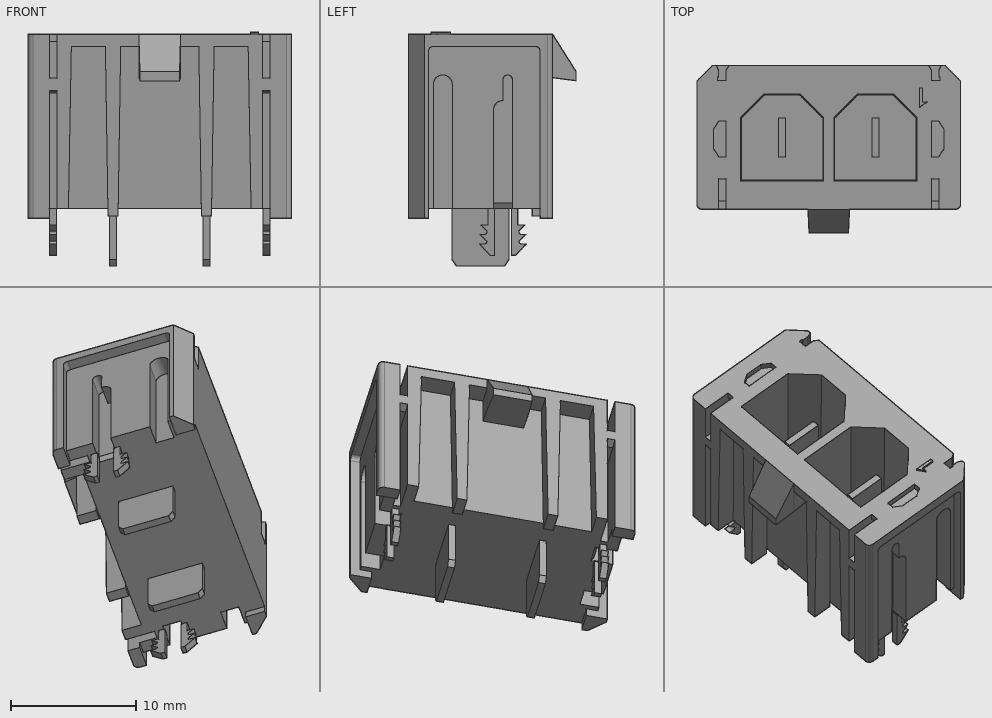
import cadquery as cq
import math


LENGTH = 21.08
DEPTH = 11.5
HEIGHT = 14.71
STANDOFF = 0.78
REAR_CHAMFER = 1.26
FRONT_RADIUS = 0.42
FRONT = -DEPTH / 2
BACK = DEPTH / 2

CONTACT_PITCH = 7.46
CONTACT_X = CONTACT_PITCH / 2
CAVITY_WIDTH = 6.66
CAVITY_DEPTH_Y = 6.94
CAVITY_CHAMFER = 1.9
CAVITY_FLOOR = 2.53
CAVITY_DRAFT = 0.35
PLATE = 0.57
BLADE_WIDTH = 3.12
BLADE_TOP = 11.49
TAIL_WIDTH = 4.57
TAIL_BOTTOM = -3.82
TAIL_CHAMFER_Y = 0.35
TAIL_CHAMFER_Z = 0.53

RECESS_TOP = 13.72
RECESS_DEPTH = 1.62
RECESS_DEPTH_TOP = 1.48
RECESS_OUTER_TOP = 7.06
RECESS_OUTER_BOTTOM = 7.3
RIB_HALF_TOP = 0.61
RIB_HALF_BOTTOM = 0.4
RIB_FOOT = 0.17

LATCH_REACH = 1.88
LATCH_WIDTH_ROOT = 3.33
LATCH_WIDTH_TIP = 3.16
LATCH_TIP_TOP_DROP = 2.97
LATCH_TIP_BOTTOM_DROP = 3.73
LATCH_ROOT_BOTTOM_DROP = 3.29

SLOT_OUTER = 8.81
SLOT_INNER = 8.2
SLOT_DEPTH = 2.45
SLOT_UNDERCUT = 0.21
SLOT_LIP = 0.61
BRIDGE_TOP = 11.2
BRIDGE_LEDGE = 10.55
BRIDGE_BOTTOM = 10.0
BRIDGE_CHAMFER = 0.23
BRIDGE_THICKNESS = 0.67

POCKET_OUTER = 9.21
POCKET_CHAMFER_X = 0.45
POCKET_CHAMFER_Y = 0.67
POCKET_WIDTH = 2.89
POCKET_Y = -0.13
POCKET_DEPTH = 0.53

NOTCH_MOUTH_OUTER = 8.98
NOTCH_MOUTH_INNER = 7.95
NOTCH_MOUTH_DEPTH = 0.38
NOTCH_HOOK_OUTER = 8.9
NOTCH_HOOK_DEPTH = 0.93
NOTCH_DEPTH = 1.22
NOTCH_FLOOR = BRIDGE_TOP

PANEL_RECESS = 0.78
PANEL_FRONT = -4.76
PANEL_BACK = 4.15
PANEL_RADIUS = 0.38
GROOVE_TOP = 11.45
GROOVE_WIDTH = 1.52
REAR_GROOVE_Y = 3.01
LOCK_Y = -1.8
STEP_TOP = 9.4
GROOVE_FLARE_HEIGHT = 0.45
GROOVE_FLARE_DEPTH = 0.25

LOCK_INNER = 0.67
LOCK_OUTER = 1.2
LOCK_BOTTOM = -2.97
LOCK_TOE = 1.01
BARB_ROOT = 1.29
BARB_ROUND = 0.2
BARBS = [(1.77, -0.53), (1.83, -1.29), (1.88, -2.05)]

MARK_HEIGHT = 0.15
MARK_LEFT = 7.25
MARK_STEM = 0.25
MARK_FLAG = 0.65
MARK_BACK = 3.95
MARK_FLAG_BACK = 2.85
MARK_FRONT = 2.38


def block(x0, x1, y0, y1, z0, z1):
    return cq.Workplane("XY").box(x1 - x0, y1 - y0, z1 - z0, centered=False).translate((x0, y0, z0))


def yz_prism(outline, x0, x1):
    """Extrude a closed Y-Z outline from x0 to x1."""
    return outline.extrude(x1 - x0).translate((x0, 0, 0))


def both_ends(right_hand):
    return right_hand.union(right_hand.mirror("YZ"))


def shell_block():
    body = block(-LENGTH / 2, LENGTH / 2, FRONT, BACK, 0, HEIGHT)
    body = body.edges("|Z and >Y").chamfer(REAR_CHAMFER)
    body = body.edges("|Z and <Y").fillet(FRONT_RADIUS)
    return body.cut(block(-SLOT_OUTER, SLOT_OUTER, FRONT, BACK, 0, STANDOFF))


def cavity():
    cut_depth = HEIGHT - CAVITY_FLOOR
    half_x = CAVITY_WIDTH / 2
    half_y = CAVITY_DEPTH_Y / 2
    outline = [
        (-half_x, -half_y),
        (half_x, -half_y),
        (half_x, half_y - CAVITY_CHAMFER),
        (half_x - CAVITY_CHAMFER, half_y),
        (-half_x + CAVITY_CHAMFER, half_y),
        (-half_x, half_y - CAVITY_CHAMFER),
    ]
    top = cq.Workplane("XY").workplane(offset=HEIGHT).polyline(outline).close()
    return top.extrude(-cut_depth, taper=CAVITY_DRAFT)


def contact():
    half = TAIL_WIDTH / 2
    toe = half - TAIL_CHAMFER_Y
    toe_top = TAIL_BOTTOM + TAIL_CHAMFER_Z
    blade = block(-PLATE / 2, PLATE / 2, -BLADE_WIDTH / 2, BLADE_WIDTH / 2, STANDOFF, BLADE_TOP)
    outline = [(-half, STANDOFF), (-half, toe_top), (-toe, TAIL_BOTTOM),
               (toe, TAIL_BOTTOM), (half, toe_top), (half, STANDOFF)]
    tail = yz_prism(cq.Workplane("YZ").polyline(outline).close(), -PLATE / 2, PLATE / 2)
    return blade.union(tail)


def front_prism(outline):
    """Extrude an X-Z outline from the recess floor to the front face."""
    sketch = cq.Workplane("XZ", origin=(0, FRONT + RECESS_DEPTH, 0))
    return sketch.polyline(outline).close().extrude(RECESS_DEPTH)


def front_recess():
    pocket = front_prism([
        (-RECESS_OUTER_TOP, RECESS_TOP),
        (RECESS_OUTER_TOP, RECESS_TOP),
        (RECESS_OUTER_BOTTOM, STANDOFF),
        (-RECESS_OUTER_BOTTOM, STANDOFF),
    ])
    leaning_profile = [
        (FRONT, STANDOFF),
        (FRONT + RECESS_DEPTH, STANDOFF),
        (FRONT + RECESS_DEPTH_TOP, RECESS_TOP),
        (FRONT, RECESS_TOP),
    ]
    leaning = cq.Workplane("YZ").polyline(leaning_profile).close()
    return pocket.intersect(yz_prism(leaning, -RECESS_OUTER_BOTTOM, RECESS_OUTER_BOTTOM))


def rib():
    return front_prism([
        (-RIB_HALF_TOP, RECESS_TOP),
        (RIB_HALF_TOP, RECESS_TOP),
        (RIB_HALF_BOTTOM, RIB_FOOT),
        (-RIB_HALF_BOTTOM, RIB_FOOT),
    ]).translate((CONTACT_X, 0, 0))


def latch():
    tip = FRONT - LATCH_REACH
    root = FRONT + RECESS_DEPTH
    root_bottom = HEIGHT - LATCH_ROOT_BOTTOM_DROP
    profile = [
        (root, HEIGHT),
        (FRONT, HEIGHT),
        (tip, HEIGHT - LATCH_TIP_TOP_DROP),
        (tip, HEIGHT - LATCH_TIP_BOTTOM_DROP),
        (root, root_bottom),
    ]
    half = LATCH_WIDTH_ROOT / 2
    ramp = yz_prism(cq.Workplane("YZ").polyline(profile).close(), -half, half)
    plan = [
        (-half, root), (-half, FRONT), (-LATCH_WIDTH_TIP / 2, tip),
        (LATCH_WIDTH_TIP / 2, tip), (half, FRONT), (half, root),
    ]
    return ramp.intersect(cq.Workplane("XY").polyline(plan).close().extrude(HEIGHT))


def end_slot():
    back = FRONT + SLOT_DEPTH
    slot = block(SLOT_INNER, SLOT_OUTER, FRONT, back, 0, HEIGHT)
    deepest = back + SLOT_UNDERCUT
    undercut = block(SLOT_INNER, SLOT_OUTER, back, deepest, BRIDGE_LEDGE, HEIGHT - SLOT_LIP)
    inner = FRONT + BRIDGE_THICKNESS
    bridge_profile = [
        (FRONT, BRIDGE_TOP), (inner, BRIDGE_TOP), (inner, BRIDGE_LEDGE), (back, BRIDGE_LEDGE),
        (back, BRIDGE_BOTTOM), (inner, BRIDGE_BOTTOM), (FRONT, BRIDGE_BOTTOM + BRIDGE_CHAMFER),
    ]
    bridge = yz_prism(cq.Workplane("YZ").polyline(bridge_profile).close(), SLOT_INNER, SLOT_OUTER)
    return slot.union(undercut).cut(bridge)


def top_pocket():
    y0 = POCKET_Y - POCKET_WIDTH / 2
    y1 = POCKET_Y + POCKET_WIDTH / 2
    shoulder = POCKET_OUTER - POCKET_CHAMFER_X
    outline = [
        (SLOT_INNER, y0), (shoulder, y0), (POCKET_OUTER, y0 + POCKET_CHAMFER_Y),
        (POCKET_OUTER, y1 - POCKET_CHAMFER_Y), (shoulder, y1), (SLOT_INNER, y1),
    ]
    return cq.Workplane("XY").workplane(offset=HEIGHT).polyline(outline).close().extrude(-POCKET_DEPTH)


def rear_notch():
    throat = BACK - NOTCH_MOUTH_DEPTH
    hook = BACK - NOTCH_HOOK_DEPTH
    floor = BACK - NOTCH_DEPTH
    outline = [
        (NOTCH_MOUTH_INNER, BACK), (SLOT_INNER, throat), (SLOT_INNER, floor),
        (NOTCH_HOOK_OUTER, floor), (NOTCH_HOOK_OUTER, hook), (SLOT_OUTER, hook),
        (SLOT_OUTER, throat), (NOTCH_MOUTH_OUTER, BACK),
    ]
    notch = cq.Workplane("XY").workplane(offset=NOTCH_FLOOR).polyline(outline).close()
    return notch.extrude(HEIGHT - NOTCH_FLOOR)


def end_panel():
    panel = block(LENGTH / 2 - PANEL_RECESS, LENGTH / 2, PANEL_FRONT, PANEL_BACK, 0, RECESS_TOP)
    panel = panel.edges("|X and >Z").fillet(PANEL_RADIUS)
    underside = block(SLOT_INNER, LENGTH / 2, PANEL_FRONT, PANEL_BACK, 0, STANDOFF)
    return panel.union(underside)


def rear_groove():
    radius = GROOVE_WIDTH / 2
    y0 = REAR_GROOVE_Y - radius
    y1 = REAR_GROOVE_Y + radius
    spring = GROOVE_TOP - radius
    outline = (cq.Workplane("YZ").moveTo(y0, 0).lineTo(y0, spring)
               .threePointArc((REAR_GROOVE_Y, GROOVE_TOP), (y1, spring)).lineTo(y1, 0).close())
    return yz_prism(outline, SLOT_INNER, LENGTH / 2)


def lock_groove():
    """Groove above the board lock: wide below, half as wide above."""
    step_radius = GROOVE_WIDTH / 2
    top_radius = step_radius / 2
    y0 = LOCK_Y - step_radius
    y1 = LOCK_Y + step_radius
    spring = GROOVE_TOP - top_radius
    step_spring = STEP_TOP - step_radius
    diagonal = step_radius * math.sqrt(0.5)
    outline = (cq.Workplane("YZ").moveTo(y0, 0).lineTo(y0, spring)
               .threePointArc((y0 + top_radius, GROOVE_TOP), (LOCK_Y, spring))
               .lineTo(LOCK_Y, STEP_TOP)
               .threePointArc((LOCK_Y + diagonal, step_spring + diagonal), (y1, step_spring))
               .lineTo(y1, 0).close())
    groove = yz_prism(outline, SLOT_INNER, LENGTH / 2)
    flare = [
        (SLOT_INNER, STANDOFF + GROOVE_FLARE_HEIGHT),
        (SLOT_INNER, STANDOFF),
        (SLOT_INNER - GROOVE_FLARE_DEPTH, STANDOFF),
    ]
    flare_cut = cq.Workplane("XZ", origin=(0, y1, 0)).polyline(flare).close().extrude(GROOVE_WIDTH)
    return groove.union(flare_cut)


def board_lock():
    arc_mid = BARB_ROUND * (1 - math.sqrt(0.5))
    leg = cq.Workplane("YZ").moveTo(LOCK_INNER, STANDOFF).lineTo(LOCK_OUTER, STANDOFF)
    leg = leg.lineTo(LOCK_OUTER, BARBS[0][1])
    for (tip, height), (_, next_height) in zip(BARBS, BARBS[1:]):
        leg = leg.lineTo(tip, height)
        leg = leg.lineTo(BARB_ROOT, height - (tip - BARB_ROOT))
        leg = leg.lineTo(BARB_ROOT, next_height + BARB_ROUND)
        leg = leg.threePointArc((BARB_ROOT + arc_mid, next_height + arc_mid),
                                (BARB_ROOT + BARB_ROUND, next_height))
    leg = leg.lineTo(*BARBS[-1]).lineTo(LOCK_TOE, LOCK_BOTTOM).lineTo(LOCK_INNER, LOCK_BOTTOM).close()
    leg = yz_prism(leg, SLOT_OUTER - PLATE, SLOT_OUTER)
    return leg.union(leg.mirror("XZ")).translate((0, LOCK_Y, 0))


def pin_one_mark():
    right = MARK_LEFT + MARK_FLAG
    stem_right = MARK_LEFT + MARK_STEM
    outline = [
        (MARK_LEFT, MARK_BACK), (stem_right, MARK_BACK), (stem_right, MARK_FLAG_BACK),
        (right, MARK_FLAG_BACK), (stem_right, MARK_FLAG_BACK - MARK_STEM), (MARK_LEFT, MARK_FRONT),
    ]
    return cq.Workplane("XY").workplane(offset=HEIGHT).polyline(outline).close().extrude(MARK_HEIGHT)


result = shell_block().cut(front_recess()).union(both_ends(rib())).union(latch())
for end_cut in (end_slot(), top_pocket(), rear_notch(), end_panel(), rear_groove(), lock_groove()):
    result = result.cut(both_ends(end_cut))
for contact_x in (-CONTACT_X, CONTACT_X):
    result = result.cut(cavity().translate((contact_x, 0, 0)))
    result = result.union(contact().translate((contact_x, 0, 0)))
result = result.union(both_ends(board_lock())).union(pin_one_mark())